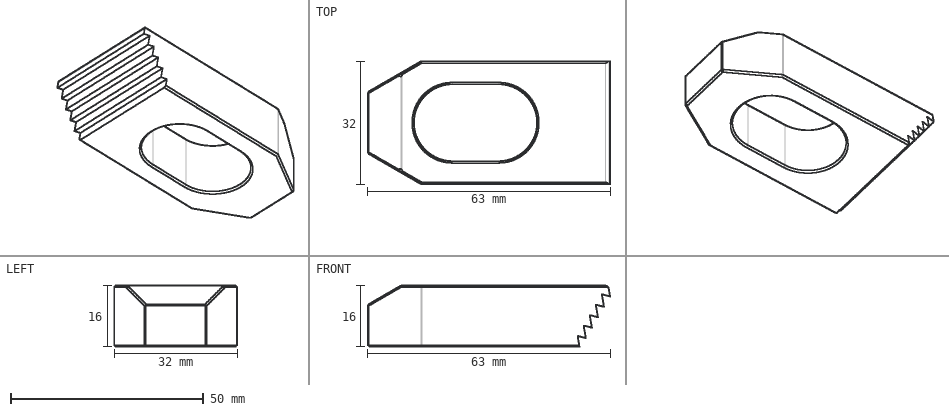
import cadquery as cq
import math

length = 63.0
width = 32.0
height = 16.0

taper_angle = math.radians(30)
nose_width = 16.0
slope_drop = 5.0
flank_length = (width - nose_width) / 2 / math.tan(taper_angle)
slope_length = slope_drop / math.tan(taper_angle)

slot_length = 32.0
slot_width = 20.0
slot_center_x = 28.0

tooth_count = 5
first_tip_z = 13.1
tooth_step_x = 1.6
tooth_step_z = 2.7
undercut_depth = 2.15
undercut_rise = 0.55

edge_chamfer = 0.5
slope_border_chamfer = edge_chamfer * math.tan(math.acos(math.sin(taper_angle) ** 2) / 2)
nose_corner_setback = edge_chamfer * math.tan((math.pi / 2 - taper_angle) / 2)
shallow_corner_setback = edge_chamfer * math.tan(taper_angle / 2)
top_corner_radius = 1.0

nose_cut_along = nose_corner_setback * math.sin(math.pi / 2 - taper_angle)
nose_cut_across = nose_corner_setback * math.sin(taper_angle)
shallow_cut_along = shallow_corner_setback * math.cos(taper_angle)
shallow_cut_across = shallow_corner_setback * math.sin(taper_angle)

face_lean = (undercut_depth - tooth_step_x) / (tooth_step_z + undercut_rise)


def side_profile():
    """Outline in the XZ plane, from the nose over the top and down the teeth."""
    points = [
        (0, 0),
        (0, height - slope_drop - nose_corner_setback),
        (nose_cut_along, height - slope_drop + nose_cut_across),
        (slope_length - shallow_cut_along, height - shallow_cut_across),
        (slope_length + shallow_corner_setback, height),
        (length - face_lean * (height - first_tip_z), height),
    ]
    for tooth in range(tooth_count):
        tip_x = length - tooth * tooth_step_x
        tip_z = first_tip_z - tooth * tooth_step_z
        points.append((tip_x, tip_z))
        points.append((tip_x - undercut_depth, tip_z + undercut_rise))
    last_root_x, last_root_z = points[-1]
    points.append((last_root_x + face_lean * last_root_z, 0))
    return cq.Workplane("XZ").polyline(points).close().extrude(width / 2, both=True)


def plan_outline():
    """Block seen from above, with the flanks narrowing toward the nose."""
    half_side = [
        (0, nose_width / 2 - nose_corner_setback),
        (nose_cut_along, nose_width / 2 + nose_cut_across),
        (flank_length - shallow_cut_along, width / 2 - shallow_cut_across),
        (flank_length + shallow_corner_setback, width / 2),
        (length, width / 2),
    ]
    mirrored_side = [(x, -y) for x, y in reversed(half_side)]
    return cq.Workplane("XY").polyline(half_side + mirrored_side).close().extrude(height)


body = side_profile().intersect(plan_outline())

body = body.faces(">Z").edges("not |Y").chamfer(edge_chamfer)

slope_center = (slope_length / 2, 0, height - slope_drop / 2)
slope_face = body.faces(cq.selectors.NearestToPointSelector(slope_center))
body = slope_face.edges("not |Y").chamfer(slope_border_chamfer)

body = body.faces("<Z").edges("not(>X and |Y)").chamfer(edge_chamfer)

body = body.faces(">Z").edges(">X").fillet(top_corner_radius)

slot = (
    cq.Workplane("XY")
    .center(slot_center_x, 0)
    .slot2D(slot_length, slot_width)
    .extrude(height)
)
body = body.cut(slot)
rim_span_x = slot_length / 2 + edge_chamfer
rim_span_y = slot_width / 2 + edge_chamfer
slot_region = cq.selectors.BoxSelector(
    (slot_center_x - rim_span_x, -rim_span_y, -edge_chamfer),
    (slot_center_x + rim_span_x, rim_span_y, height + edge_chamfer),
)
result = body.faces("<Z or >Z").edges(slot_region).chamfer(edge_chamfer)